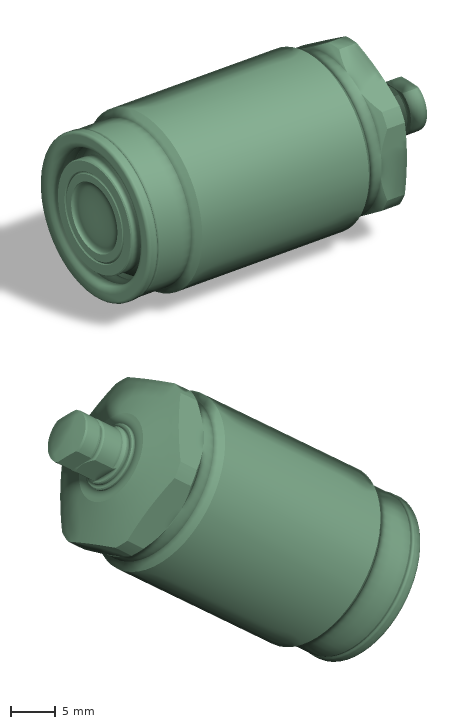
import cadquery as cq
import math

LENGTH = 45.0

SLEEVE_R = 22.0 / 2
COLLAR_R = 20.2 / 2
SLEEVE_CHAMFER = SLEEVE_R - COLLAR_R
SLEEVE_FRONT_Y = 6.98
SLEEVE_REAR_Y = 30.6
HEX_FRONT_Y = 33.08
HEX_ACROSS_FLATS = 20.0
ROUND_STOCK_R = 13.5
REAR_FACE_Y = 38.02
REAR_FACE_R = 5.4
REAR_CONE_ANGLE = 15.5
MOUTH_CHAMFER_LENGTH = 0.25
MOUTH_CHAMFER_DEPTH = 0.1

RIM_R = 10.2
RIM_BORE_R = 8.2
RIM_LENGTH = 1.4
RIM_OUTER_ROUND = 0.35
RIM_INNER_ROUND = 0.75

RECESS_R = 8.32
SPIGOT_R = 6.95
SPIGOT_CHAMFER = 0.15
SPIGOT_BORE_CHAMFER = 0.1
SPIGOT_CONE_Y = 1.9
SPIGOT_CONE_ANGLE = 30.0

SEAL_INNER_R = 8.05
SEAL_SECTION_R = 0.68
SEAL_Y = 2.55

PLUG_R = 5.45
PLUG_LENGTH = 9.0
PLUG_FACE_R = 5.2
PLUG_CHAMFER = PLUG_R - PLUG_FACE_R
DISH_R = 3.65
DISH_RIM_R = 4.3
DISH_DEPTH = 0.5
DISH_ROUND = 0.68

STEM_R = 3.25
STEM_ACROSS_FLATS = 5.6
FLANGE_R = 4.05
FLANGE_END_Y = 38.45
FLANGE_CHAMFER = 0.15
SHOULDER_R = 3.5
SHOULDER_CHAMFER_Y = 38.85
SHOULDER_END_Y = 39.25
FLATS_START_Y = 38.95
WAIST_Y = 42.5
WAIST_R = 2.7
HEAD_CHAMFER_LENGTH = 0.25
HEAD_CHAMFER_DEPTH = 0.05
DOME_HEIGHT = 0.22


def turn(profile):
    """Revolve a closed radius-Y profile about the Y axis."""
    return profile.close().revolve(360, (0, 0, 0), (0, 1, 0))


def make_hex_stock():
    """Round bar, wider than the sleeve, that turns into a hexagonal bar with corners on Z."""
    hex_corner_diameter = HEX_ACROSS_FLATS / math.cos(math.radians(30))
    hex_bar = (
        cq.Workplane("XZ", origin=(0, HEX_FRONT_Y, 0))
        .polygon(6, hex_corner_diameter)
        .extrude(HEX_FRONT_Y - REAR_FACE_Y)
        .rotate((0, 0, 0), (0, 1, 0), 30)
    )
    stock = cq.Workplane("XZ").circle(ROUND_STOCK_R).extrude(-HEX_FRONT_Y)
    return stock.union(hex_bar)


def make_housing():
    rear_cone_length = (SLEEVE_R - REAR_FACE_R) * math.tan(math.radians(REAR_CONE_ANGLE))
    spigot_cone_length = (RECESS_R - SPIGOT_R) / math.tan(math.radians(SPIGOT_CONE_ANGLE))
    seal_pocket_r = SEAL_INNER_R + 2 * SEAL_SECTION_R
    turned = turn(
        cq.Workplane("XY")
        .moveTo(seal_pocket_r, RIM_LENGTH)
        .lineTo(COLLAR_R - MOUTH_CHAMFER_DEPTH, RIM_LENGTH)
        .lineTo(COLLAR_R, RIM_LENGTH + MOUTH_CHAMFER_LENGTH)
        .lineTo(COLLAR_R, SLEEVE_FRONT_Y - SLEEVE_CHAMFER)
        .lineTo(SLEEVE_R, SLEEVE_FRONT_Y)
        .lineTo(SLEEVE_R, SLEEVE_REAR_Y)
        .lineTo(COLLAR_R, SLEEVE_REAR_Y + SLEEVE_CHAMFER)
        .lineTo(COLLAR_R, HEX_FRONT_Y)
        .lineTo(SLEEVE_R, HEX_FRONT_Y + SLEEVE_CHAMFER)
        .lineTo(SLEEVE_R, REAR_FACE_Y - rear_cone_length)
        .lineTo(REAR_FACE_R, REAR_FACE_Y)
        .lineTo(0, REAR_FACE_Y)
        .lineTo(0, PLUG_LENGTH)
        .lineTo(PLUG_R, PLUG_LENGTH)
        .lineTo(PLUG_R, SPIGOT_BORE_CHAMFER)
        .lineTo(PLUG_R + SPIGOT_BORE_CHAMFER, 0)
        .lineTo(SPIGOT_R - SPIGOT_CHAMFER, 0)
        .lineTo(SPIGOT_R, SPIGOT_CHAMFER)
        .lineTo(SPIGOT_R, SPIGOT_CONE_Y)
        .lineTo(RECESS_R, SPIGOT_CONE_Y + spigot_cone_length)
        .lineTo(RECESS_R, SEAL_Y + SEAL_SECTION_R)
        .lineTo(seal_pocket_r, SEAL_Y + SEAL_SECTION_R)
    )
    return turned.intersect(make_hex_stock())


def make_rim_ring():
    ring = cq.Workplane("XZ").circle(RIM_R).circle(RIM_BORE_R).extrude(-RIM_LENGTH)
    outer_edges = cq.selectors.RadiusNthSelector(-1)
    ring = ring.edges(outer_edges).fillet(RIM_OUTER_ROUND)
    return ring.faces("<Y").edges(cq.selectors.RadiusNthSelector(0)).fillet(RIM_INNER_ROUND)


def make_seal():
    ring_radius = SEAL_INNER_R + SEAL_SECTION_R
    seal = cq.Solid.makeTorus(ring_radius, SEAL_SECTION_R, cq.Vector(0, SEAL_Y, 0), cq.Vector(0, 1, 0))
    return cq.Workplane(obj=seal)


def make_plug():
    return turn(
        cq.Workplane("XY")
        .moveTo(0, DISH_DEPTH)
        .lineTo(DISH_R, DISH_DEPTH)
        .radiusArc((DISH_RIM_R, 0), DISH_ROUND)
        .lineTo(PLUG_FACE_R, 0)
        .lineTo(PLUG_R, PLUG_CHAMFER)
        .lineTo(PLUG_R, PLUG_LENGTH)
        .lineTo(0, PLUG_LENGTH)
    )


def make_stem():
    head_edge_r = STEM_R - HEAD_CHAMFER_DEPTH
    dome_base_y = LENGTH - DOME_HEIGHT
    dome_radius = (head_edge_r ** 2 + DOME_HEIGHT ** 2) / (2 * DOME_HEIGHT)
    stem = turn(
        cq.Workplane("XY")
        .moveTo(0, REAR_FACE_Y)
        .lineTo(FLANGE_R, REAR_FACE_Y)
        .lineTo(FLANGE_R, FLANGE_END_Y - FLANGE_CHAMFER)
        .lineTo(FLANGE_R - FLANGE_CHAMFER, FLANGE_END_Y)
        .lineTo(SHOULDER_R, FLANGE_END_Y)
        .lineTo(SHOULDER_R, SHOULDER_CHAMFER_Y)
        .lineTo(STEM_R, SHOULDER_END_Y)
        .lineTo(STEM_R, WAIST_Y - (STEM_R - WAIST_R))
        .lineTo(WAIST_R, WAIST_Y)
        .lineTo(head_edge_r, WAIST_Y)
        .lineTo(STEM_R, WAIST_Y + HEAD_CHAMFER_LENGTH)
        .lineTo(STEM_R, dome_base_y - HEAD_CHAMFER_LENGTH)
        .lineTo(head_edge_r, dome_base_y)
        .radiusArc((0, LENGTH), -dome_radius)
    )
    flats_length = LENGTH - FLATS_START_Y
    for side in (-1, 1):
        waste = cq.Workplane("XY").box(2 * FLANGE_R, flats_length, STEM_R)
        waste_z = side * (STEM_ACROSS_FLATS + STEM_R) / 2
        stem = stem.cut(waste.translate((0, FLATS_START_Y + flats_length / 2, waste_z)))
    return stem


housing = make_housing()
rim_ring = make_rim_ring()
seal = make_seal()
plug = make_plug()
stem = make_stem()

result = cq.Compound.makeCompound(
    [housing.val(), rim_ring.val(), seal.val(), plug.val(), stem.val()]
)